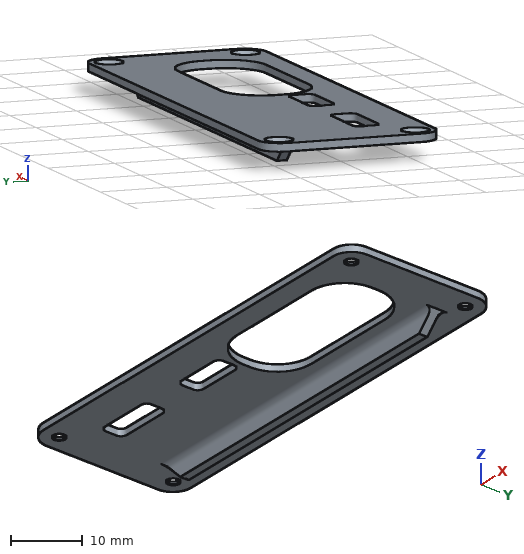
import cadquery as cq

PLATE_LENGTH = 71.0
PLATE_WIDTH = 26.5
PLATE_THICKNESS = 1.2
PLATE_CORNER_RADIUS = 3.3

SCREW_SPACING_X = 64.9
SCREW_SPACING_Y = 20.45
SCREW_DIAMETER = 2.0
COUNTERSINK_DIAMETER = 4.05
COUNTERSINK_ANGLE = 90.0

SLOT_CENTER_Y = -5.25
SLOT_HEIGHT = 3.8
SLOT_CORNER_RADIUS = 1.0
LONG_SLOT_CENTER_X = -22.0
LONG_SLOT_LENGTH = 10.0
SHORT_SLOT_CENTER_X = -5.5
SHORT_SLOT_LENGTH = 9.0
WINDOW_CENTER_X = 14.3
WINDOW_CENTER_Y = -2.8
WINDOW_LENGTH = 28.5
WINDOW_HEIGHT = 13.2
WINDOW_CORNER_RADIUS = 6.0

RIB_CENTER_Y = 7.45
RIB_THICKNESS = 1.5
RIB_DEPTH = 3.0
RIB_TOP_LENGTH = 59.0
RIB_BOTTOM_LENGTH = RIB_TOP_LENGTH - 2 * RIB_DEPTH
RIB_FILLET_RADIUS = 1.0


def make_plate():
    return (
        cq.Workplane("XY")
        .rect(PLATE_LENGTH, PLATE_WIDTH)
        .extrude(PLATE_THICKNESS)
        .edges("|Z")
        .fillet(PLATE_CORNER_RADIUS)
    )


def make_opening(center_x, center_y, length, height, corner_radius):
    return (
        cq.Workplane("XY")
        .center(center_x, center_y)
        .rect(length, height)
        .extrude(PLATE_THICKNESS)
        .edges("|Z")
        .fillet(corner_radius)
    )


def make_rib():
    """Rib with concave fillets at its root, trimmed to a trapezoid lengthwise."""
    half_thickness = RIB_THICKNESS / 2
    half_root = half_thickness + RIB_FILLET_RADIUS
    cross_section = (
        cq.Workplane("YZ", origin=(-RIB_TOP_LENGTH / 2, RIB_CENTER_Y, 0))
        .moveTo(-half_root, 0)
        .radiusArc((-half_thickness, -RIB_FILLET_RADIUS), RIB_FILLET_RADIUS)
        .lineTo(-half_thickness, -RIB_DEPTH)
        .lineTo(half_thickness, -RIB_DEPTH)
        .lineTo(half_thickness, -RIB_FILLET_RADIUS)
        .radiusArc((half_root, 0), RIB_FILLET_RADIUS)
        .close()
        .extrude(RIB_TOP_LENGTH)
    )
    side_profile = (
        cq.Workplane("XZ", origin=(0, RIB_CENTER_Y, 0))
        .polyline([
            (-RIB_TOP_LENGTH / 2, 0),
            (RIB_TOP_LENGTH / 2, 0),
            (RIB_BOTTOM_LENGTH / 2, -RIB_DEPTH),
            (-RIB_BOTTOM_LENGTH / 2, -RIB_DEPTH),
        ])
        .close()
        .extrude(half_root, both=True)
    )
    return cross_section.intersect(side_profile)


plate = (
    make_plate()
    .faces(">Z")
    .workplane()
    .rect(SCREW_SPACING_X, SCREW_SPACING_Y, forConstruction=True)
    .vertices()
    .cskHole(SCREW_DIAMETER, COUNTERSINK_DIAMETER, COUNTERSINK_ANGLE)
)

for slot_center_x, slot_length in (
    (LONG_SLOT_CENTER_X, LONG_SLOT_LENGTH),
    (SHORT_SLOT_CENTER_X, SHORT_SLOT_LENGTH),
):
    plate = plate.cut(
        make_opening(slot_center_x, SLOT_CENTER_Y, slot_length, SLOT_HEIGHT, SLOT_CORNER_RADIUS)
    )

plate = plate.cut(
    make_opening(WINDOW_CENTER_X, WINDOW_CENTER_Y, WINDOW_LENGTH, WINDOW_HEIGHT, WINDOW_CORNER_RADIUS)
)

result = plate.union(make_rib())